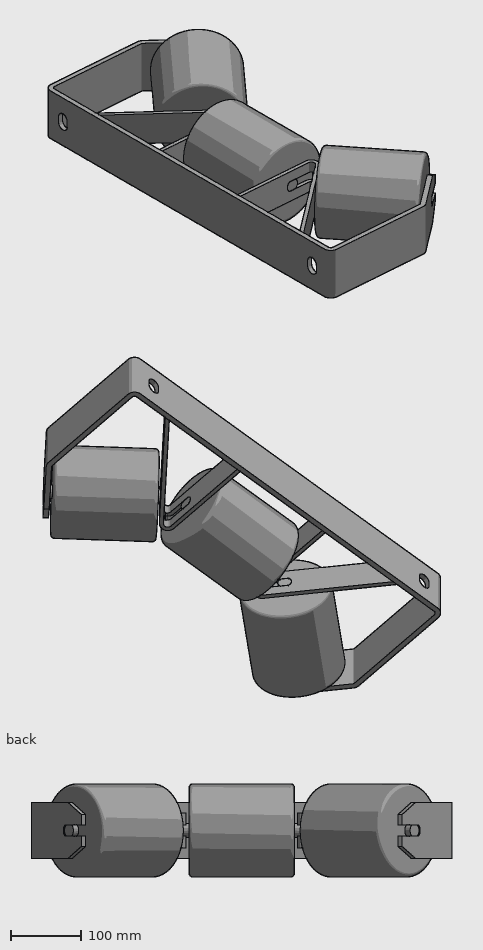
import cadquery as cq
import math

frame_width = 600.0
frame_thickness = 8.0
frame_height = 80.5
frame_inner_bend = 5.0
side_length = 185.0
wing_length = 111.0
wing_angle = 50.0
wing_chamfer_length = 30.0
wing_chamfer_height = 17.5

mount_slot_width = 18.0
mount_slot_height = 27.0
mount_slot_spacing = 523.0

roller_diameter = 133.0
roller_length = 150.0
roller_fillet = 5.5
axle_diameter = 20.0
axle_flats = 16.0
axle_length = 170.0
support_gap = 158.5
axle_from_wing_tip = 30.0
middle_roller_y = 125.5

bracket_thickness = 6.0
bracket_height = 50.0
bracket_inner_bend = 6.0
leg_weld_depth = 0.5

half_width = frame_width / 2
wing_radians = math.radians(wing_angle)
along_wing = cq.Vector(math.cos(wing_radians), math.sin(wing_radians), 0)
along_axle = cq.Vector(math.sin(wing_radians), -math.cos(wing_radians), 0)

wing_corner = cq.Vector(-half_width, side_length, 0)
wing_tip = wing_corner + along_wing * wing_length
left_roller_center = (
    wing_tip - along_wing * axle_from_wing_tip + along_axle * (frame_thickness + support_gap / 2)
)
middle_roller_center = cq.Vector(0, middle_roller_y, 0)

bracket_outer_bend = bracket_inner_bend + bracket_thickness
bend_to_roller = support_gap / 2 + bracket_outer_bend
bend_x = -bend_to_roller
bend_y = left_roller_center.y + (
    (bend_x - left_roller_center.x) * along_axle.x - bend_to_roller
) / -along_axle.y
bend_center = cq.Vector(bend_x, bend_y, 0)


def mirrored(body):
    return body.mirror("YZ")


def strip(outline, height):
    """Extrude a closed XY outline symmetrically about Z = 0."""
    return outline.extrude(height).translate((0, 0, -height / 2))


def cylinder(diameter, length):
    """A cylinder along X, centred at the origin."""
    return cq.Workplane("YZ").workplane(offset=-length / 2).circle(diameter / 2).extrude(length)


def placed(shape, center, direction):
    """Move a shape built along X so that its X axis follows direction through center."""
    turn = math.degrees(math.atan2(direction.y, direction.x))
    return shape.rotate((0, 0, 0), (0, 0, 1), turn).translate(center)


def flatted_axle(length):
    """An axle along X with flats on its top and bottom."""
    flats = cq.Workplane().box(length, axle_diameter, axle_flats)
    return cylinder(axle_diameter, length).intersect(flats)


def axle_slot(center, direction, open_direction, support_thickness):
    """Cutter for the open slot that seats an axle in the support at the end of direction."""
    depth = 2 * support_thickness
    middle = center + direction * (support_gap / 2 + support_thickness / 2)
    seat = flatted_axle(depth)
    opening_length = 2 * axle_from_wing_tip
    opening = cq.Workplane().box(depth, opening_length, axle_flats)
    opening_center = middle + open_direction * (opening_length / 2)
    return placed(seat, middle, direction).union(placed(opening, opening_center, direction))


def frame_strip():
    """The bent strip, drawn with sharp corners and then rounded at its four bends."""
    inner_wing_drop = frame_thickness * math.tan((math.pi / 2 - wing_radians) / 2)
    inner_tip = wing_tip + along_axle * frame_thickness
    outer_base = (-half_width, 0)
    inner_base = (-half_width + frame_thickness, frame_thickness)
    outer_side = (-half_width, side_length)
    inner_side = (-half_width + frame_thickness, side_length - inner_wing_drop)
    left_outer = [(wing_tip.x, wing_tip.y), outer_side, outer_base]
    left_inner = [inner_base, inner_side, (inner_tip.x, inner_tip.y)]
    right_outer = [(-x, y) for x, y in reversed(left_outer)]
    right_inner = [(-x, y) for x, y in reversed(left_inner)]
    outline = cq.Workplane().polyline(left_outer + right_outer + right_inner + left_inner).close()
    body = strip(outline, frame_height)

    outer_bend = frame_inner_bend + frame_thickness
    bends = [
        (outer_base, outer_bend),
        (outer_side, outer_bend),
        (inner_base, frame_inner_bend),
        (inner_side, frame_inner_bend),
    ]
    for (x, y), radius in bends:
        for corner_x in (x, -x):
            body = body.edges(cq.NearestToPointSelector((corner_x, y, 0))).fillet(radius)
    return body


def wing_cutter():
    """Both tip chamfers and the axle slot of the left wing."""
    cutter = axle_slot(left_roller_center, along_axle * -1, along_wing, frame_thickness)
    top = frame_height / 2
    corner = (
        cq.Workplane("YZ")
        .polyline([(-wing_chamfer_length, top), (0, top), (0, top - wing_chamfer_height)])
        .close()
        .extrude(2 * frame_thickness, both=True)
    )
    for chamfer in (corner, corner.mirror("XY")):
        cutter = cutter.union(placed(chamfer, wing_tip, along_axle))
    return cutter


def make_bracket():
    """The left bracket, with an axle slot in its upright and another in its leg."""
    upright_direction = cq.Vector(1, 0, 0)
    leg_direction = along_axle * -1
    bend_top = (upright_direction + leg_direction).normalized()

    def bend_point(direction, radius):
        return (bend_center + direction * radius).toTuple()[:2]

    inner_leg_start = bend_center + leg_direction * bracket_inner_bend
    leg_length = (inner_leg_start.y - frame_thickness + leg_weld_depth) / along_wing.y
    inner_leg_end = inner_leg_start - along_wing * leg_length
    outer_leg_end = inner_leg_end + leg_direction * bracket_thickness
    outline = (
        cq.Workplane()
        .moveTo(bend_x + bracket_outer_bend, frame_thickness)
        .lineTo(*bend_point(upright_direction, bracket_outer_bend))
        .threePointArc(
            bend_point(bend_top, bracket_outer_bend), bend_point(leg_direction, bracket_outer_bend)
        )
        .lineTo(outer_leg_end.x, outer_leg_end.y)
        .lineTo(inner_leg_end.x, inner_leg_end.y)
        .lineTo(inner_leg_start.x, inner_leg_start.y)
        .threePointArc(
            bend_point(bend_top, bracket_inner_bend), bend_point(upright_direction, bracket_inner_bend)
        )
        .lineTo(bend_x + bracket_inner_bend, frame_thickness)
        .close()
    )
    up = cq.Vector(0, 1, 0)
    upright_slot = axle_slot(middle_roller_center, upright_direction * -1, up, bracket_thickness)
    leg_slot = axle_slot(left_roller_center, along_axle, along_wing, bracket_thickness)
    return strip(outline, bracket_height).cut(upright_slot).cut(leg_slot)


def make_roller(center, direction):
    """A roller with rounded rims and an axle whose ends are flattened to fit the slots."""
    drum = cylinder(roller_diameter, roller_length).edges("%CIRCLE").fillet(roller_fillet)
    axle = cylinder(axle_diameter, support_gap)
    roller = drum.union(axle).union(flatted_axle(axle_length))
    return placed(roller, center, direction)


def make_frame():
    """The strip, both brackets and the middle roller, joined in one solid."""
    mount_slots = (
        cq.Workplane("XZ")
        .pushPoints([(-mount_slot_spacing / 2, 0), (mount_slot_spacing / 2, 0)])
        .slot2D(mount_slot_height, mount_slot_width, 90)
        .extrude(-frame_thickness)
    )
    left_wing = wing_cutter()
    left_bracket = make_bracket()
    body = frame_strip().cut(mount_slots).cut(left_wing).cut(mirrored(left_wing))
    body = body.union(left_bracket).union(mirrored(left_bracket))
    return body.union(make_roller(middle_roller_center, cq.Vector(1, 0, 0)))


frame = make_frame()
left_roller = make_roller(left_roller_center, along_axle)
outer_rollers = [left_roller, mirrored(left_roller)]

result = cq.Compound.makeCompound([frame.val(), *[roller.val() for roller in outer_rollers]])